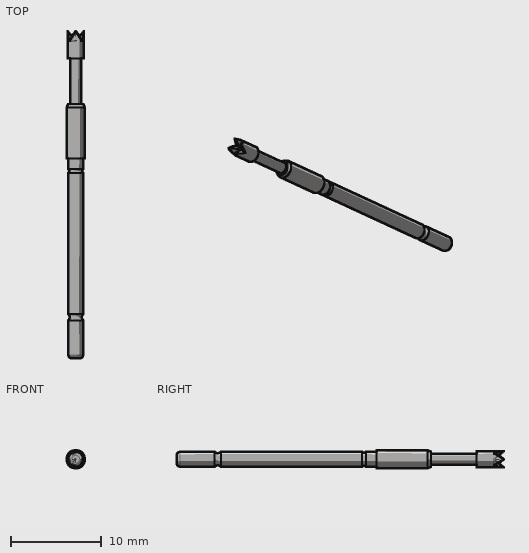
import cadquery as cq
import math


length = 36.0
head_length = 3.0
collar_tail_y = 22.0
collar_front_y = 28.0

head_diameter = 1.8
plunger_diameter = 1.22
collar_diameter = 2.0
barrel_diameter = 1.65

collar_nose_length = 0.4
collar_nose_diameter = 1.65
tail_fillet = 0.4

barrel_grooves = [(20.6, 0.45, 0.1), (4.55, 0.72, 0.15)]

crown_groove_angle = 60.0
crown_groove_directions = [45.0, 135.0]
cutter_clearance = 0.35


def cylinder(diameter, start_y, end_y):
    """Cylinder on the Y axis from start_y to end_y."""
    plane = cq.Workplane("XZ", origin=(0, end_y, 0))
    return plane.circle(diameter / 2).extrude(end_y - start_y)


def make_collar():
    """Collar whose front end tapers to a smaller nose."""
    radius = collar_diameter / 2
    nose_radius = collar_nose_diameter / 2
    nose_start_y = collar_front_y - collar_nose_length
    profile = (
        cq.Workplane("XY")
        .moveTo(0, collar_tail_y)
        .lineTo(radius, collar_tail_y)
        .lineTo(radius, nose_start_y)
        .lineTo(nose_radius, collar_front_y)
        .lineTo(0, collar_front_y)
        .close()
    )
    return profile.revolve(360, (0, 0, 0), (0, 1, 0))


def groove_cutter(centre_y, width, depth):
    """Ring that cuts a groove with a circular-arc section into the barrel."""
    barrel_radius = barrel_diameter / 2
    section_radius = ((width / 2) ** 2 + depth**2) / (2 * depth)
    section_centre = barrel_radius - depth + section_radius
    section = cq.Workplane("XY").center(section_centre, centre_y).circle(section_radius)
    return section.revolve(360, (-section_centre, 0, 0), (-section_centre, 1, 0))


def crown_cutter(direction):
    """V-shaped bar across the head tip, turned about Y to the given direction."""
    half_angle_tangent = math.tan(math.radians(crown_groove_angle / 2))
    tip_offset = head_diameter / 2 * math.sin(math.radians(45))
    bottom_y = length - tip_offset / half_angle_tangent
    cutter_top_y = length + cutter_clearance
    cutter_half_width = (cutter_top_y - bottom_y) * half_angle_tangent
    bar = (
        cq.Workplane("XY")
        .moveTo(0, bottom_y)
        .lineTo(cutter_half_width, cutter_top_y)
        .lineTo(-cutter_half_width, cutter_top_y)
        .close()
        .extrude(head_diameter, both=True)
    )
    return bar.rotate((0, 0, 0), (0, 1, 0), direction)


barrel = cylinder(barrel_diameter, 0, collar_tail_y).faces("<Y").edges().fillet(tail_fillet)
for groove in barrel_grooves:
    barrel = barrel.cut(groove_cutter(*groove))

plunger = cylinder(plunger_diameter, collar_front_y, length - head_length)
head = cylinder(head_diameter, length - head_length, length)
for groove_direction in crown_groove_directions:
    head = head.cut(crown_cutter(groove_direction))

result = barrel.union(make_collar()).union(plunger).union(head)